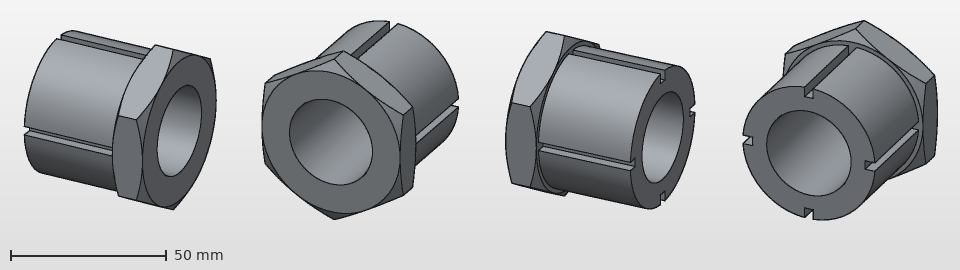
import cadquery as cq
import math

across_corners = 57.75
across_flats = across_corners * math.cos(math.radians(30))
total_length = 44.0
head_length = 11.0
barrel_diameter = 47.0
bore_diameter = 30.0
slot_width = 3.0
slot_depth = 3.5
slot_count = 4
chamfer_angle = 30.0

barrel_length = total_length - head_length
barrel_radius = barrel_diameter / 2
corner_radius = across_corners / 2
chamfer_radius = across_flats / 2
chamfer_length = (corner_radius - chamfer_radius) * math.tan(math.radians(chamfer_angle))


def hex_head():
    """Hexagonal head with conical chamfers on the corners of both faces."""
    hexagon = (
        cq.Workplane("YZ", origin=(barrel_length, 0, 0))
        .transformed(rotate=(0, 0, 90))
        .polygon(6, across_corners)
        .extrude(head_length)
    )
    chamfer_envelope = (
        cq.Workplane("XY")
        .moveTo(barrel_length, 0)
        .lineTo(barrel_length, chamfer_radius)
        .lineTo(barrel_length + chamfer_length, corner_radius)
        .lineTo(total_length - chamfer_length, corner_radius)
        .lineTo(total_length, chamfer_radius)
        .lineTo(total_length, 0)
        .close()
        .revolve(360, (0, 0, 0), (1, 0, 0))
    )
    return hexagon.intersect(chamfer_envelope)


def slotted_barrel():
    """Round barrel with lengthwise slots that stop at the head."""
    barrel = cq.Workplane("YZ").circle(barrel_radius).extrude(barrel_length)
    cutter = cq.Workplane("XY").box(
        barrel_length, slot_width, 2 * slot_depth, centered=(False, True, True)
    ).translate((0, 0, barrel_radius))
    for index in range(slot_count):
        angle = index * 360 / slot_count
        barrel = barrel.cut(cutter.rotate((0, 0, 0), (1, 0, 0), angle))
    return barrel


bore = cq.Workplane("YZ").circle(bore_diameter / 2).extrude(total_length)
result = slotted_barrel().union(hex_head()).cut(bore)